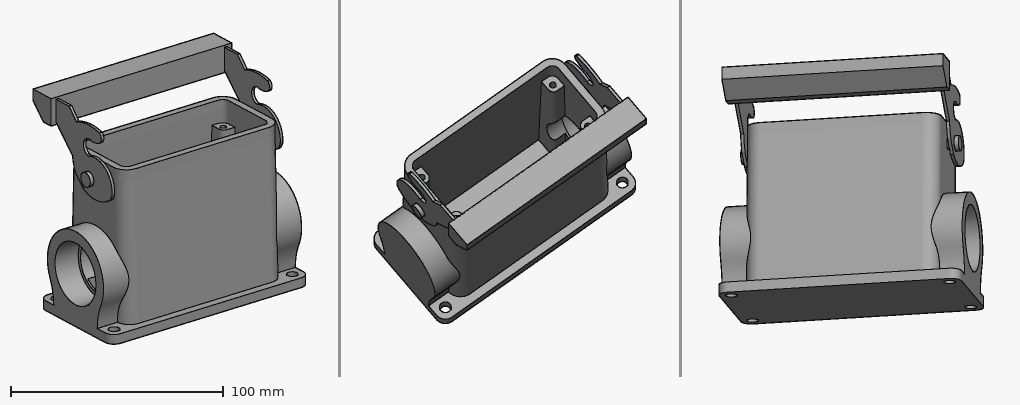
import cadquery as cq

BASE_LENGTH = 117.0
BASE_WIDTH = 56.6
BASE_THICKNESS = 5.0
BASE_CORNER_RADIUS = 5.1
MOUNT_HOLE_DIAMETER = 5.5
MOUNT_HOLE_X = 22.3
MOUNT_HOLE_Y = 52.6

TOWER_LENGTH = 93.4
TOWER_TOP_WIDTH = 43.3
TOWER_FOOT_WIDTH = 48.0
TOWER_CORNER_RADIUS = 7.5
TOWER_TOP_Z = 83.9
RIM_HEIGHT = 5.4
RIM_Z = TOWER_TOP_Z - RIM_HEIGHT
WALL = 3.7
FLOOR_Z = 2.3
CAVITY_FOOT_WIDTH = TOWER_FOOT_WIDTH - 2 * WALL
CAVITY_FOOT_LENGTH = 87.8

POST_INNER_X = 9.8
POST_INNER_Y = 35.8
POST_CORNER_RADIUS = 3.0
POST_TOP_Z = 71.8
POST_HOLE_X = 13.5
POST_HOLE_Y = 39.0
POST_HOLE_DIAMETER = 3.0
POST_HOLE_DEPTH = 9.4

PORT_RADIUS = 21.9
PORT_Z = 27.1
PORT_NECK_HALF_WIDTH = 17.0
PORT_BORE_RADIUS = 15.9
PORT_BORE_DEPTH = 13.7
PORT_INNER_RADIUS = 14.0

PIN_Z = 74.0
PIN_DIAMETER = 5.3
PIN_HEAD_DIAMETER = 7.4
PIN_HEAD_THICKNESS = 2.1
PIN_EMBEDMENT = 1.2

ARM_THICKNESS = 1.5
ARM_INNER_Y = 48.9
ARM_OUTER_Y = ARM_INNER_Y + ARM_THICKNESS
ARM_TOP_Z = 105.8
HANDLE_LENGTH = 106.7
HANDLE_SIZE = 14.2
HANDLE_CHAMFER = 8.2
HANDLE_LEFT_X = -39.9
HANDLE_RIGHT_X = HANDLE_LEFT_X + HANDLE_SIZE
HANDLE_TOP_Z = 106.8
HOOK_RADIUS = 27.6
HOOK_GAP_RADIUS = 4.5
HOOK_GAP_Z = 90.0
STRIP_TOP_END = (-15.6, ARM_TOP_Z)
STRIP_UNDERSIDE_START = (HANDLE_RIGHT_X, 93.8)
STRIP_UNDERSIDE_END = (-13.0, 81.3)
HOOK_ROOT = (-10.0, 99.8)
HOOK_TIP_TOP = (8.1, 100.4)
HOOK_TIP_END = (9.5, 97.9)
HOOK_TIP_BOTTOM = (7.5, 94.8)
HOOK_BELLY = (3.0, 94.0)
LOBE_SHOULDER = (14.0, 82.4)
LOBE_RIGHT = (17.9, 73.2)
LOBE_CORNER = (17.2, 70.1)
LOBE_BOTTOM_RIGHT = (15.2, 67.9)
LOBE_BOTTOM = (4.6, 64.8)
LOBE_FLAT_START = (-4.7, 67.4)
LOBE_FLAT_END = (-10.3, 73.1)
LOBE_LEFT = (-12.0, 76.9)

ENDS = (-1, 1)


def side_profile(plane, foot_width, top_width, foot_z):
    """Symmetric outline that narrows from the foot to the rim, then rises straight to the top."""
    return (
        cq.Workplane(plane)
        .moveTo(-foot_width / 2, foot_z)
        .lineTo(foot_width / 2, foot_z)
        .lineTo(top_width / 2, RIM_Z)
        .lineTo(top_width / 2, TOWER_TOP_Z)
        .lineTo(-top_width / 2, TOWER_TOP_Z)
        .lineTo(-top_width / 2, RIM_Z)
        .close()
    )


def tapered_column(inset, foot_width, foot_length, foot_z):
    """Tower shape moved inwards by inset: the block common to its X and Y profiles."""
    across = side_profile("XZ", foot_width, TOWER_TOP_WIDTH - 2 * inset, foot_z)
    along = side_profile("YZ", foot_length, TOWER_LENGTH - 2 * inset, foot_z)
    column = across.extrude(foot_length, both=True).intersect(along.extrude(foot_width, both=True))
    return column.edges("not #Z").fillet(TOWER_CORNER_RADIUS - inset)


def cylinder_along_y(radius, start_y, end_y, z):
    plane = cq.Workplane("XZ", origin=(0, start_y, z))
    return plane.circle(radius).extrude(start_y - end_y)


def make_base():
    base = cq.Workplane().rect(BASE_WIDTH, BASE_LENGTH).extrude(BASE_THICKNESS)
    base = base.edges("|Z").fillet(BASE_CORNER_RADIUS)
    places = [(sx * MOUNT_HOLE_X, sy * MOUNT_HOLE_Y) for sx in ENDS for sy in ENDS]
    holes = cq.Workplane().pushPoints(places).circle(MOUNT_HOLE_DIAMETER / 2)
    return base.cut(holes.extrude(BASE_THICKNESS))


def make_port(end):
    """Round boss on a waisted neck; the waist arcs meet the circle and the flange smoothly."""
    rise = PORT_Z - BASE_THICKNESS
    waist_radius = (PORT_NECK_HALF_WIDTH**2 + rise**2 - PORT_RADIUS**2) / (
        2 * (PORT_RADIUS - PORT_NECK_HALF_WIDTH)
    )
    waist_x = PORT_NECK_HALF_WIDTH + waist_radius
    share = PORT_RADIUS / (PORT_RADIUS + waist_radius)
    touch_x = share * waist_x
    touch_z = PORT_Z - share * rise
    chord_x = (touch_x + PORT_NECK_HALF_WIDTH) / 2 - waist_x
    chord_z = (touch_z + BASE_THICKNESS) / 2 - BASE_THICKNESS
    stretch = waist_radius / (chord_x**2 + chord_z**2) ** 0.5
    middle_x = waist_x + stretch * chord_x
    middle_z = BASE_THICKNESS + stretch * chord_z

    outer_y = end * BASE_LENGTH / 2
    inner_y = end * (TOWER_LENGTH / 2 - WALL)
    outline = (
        cq.Workplane("XZ", origin=(0, outer_y, 0))
        .moveTo(-PORT_NECK_HALF_WIDTH, BASE_THICKNESS)
        .threePointArc((-middle_x, middle_z), (-touch_x, touch_z))
        .threePointArc((0, PORT_Z + PORT_RADIUS), (touch_x, touch_z))
        .threePointArc((middle_x, middle_z), (PORT_NECK_HALF_WIDTH, BASE_THICKNESS))
        .close()
    )
    return outline.extrude(outer_y - inner_y)


def make_post(sx, sy):
    """Oversized corner block; only the part inside the cavity matters."""
    post = (
        cq.Workplane(origin=(sx * POST_INNER_X, sy * POST_INNER_Y, FLOOR_Z))
        .rect(sx * BASE_WIDTH / 2, sy * BASE_LENGTH / 2, centered=False)
        .extrude(POST_TOP_Z - FLOOR_Z)
    )
    x_side = "<X" if sx > 0 else ">X"
    y_side = "<Y" if sy > 0 else ">Y"
    return post.edges(f"|Z and {x_side} and {y_side}").fillet(POST_CORNER_RADIUS)


def make_cavity():
    """Inside of the tower, leaving the four corner posts standing."""
    cavity = tapered_column(WALL, CAVITY_FOOT_WIDTH, CAVITY_FOOT_LENGTH, FLOOR_Z)
    for sx in ENDS:
        for sy in ENDS:
            cavity = cavity.cut(make_post(sx, sy))
    return cavity


def make_post_holes():
    places = [(sx * POST_HOLE_X, sy * POST_HOLE_Y) for sx in ENDS for sy in ENDS]
    plane = cq.Workplane(origin=(0, 0, POST_TOP_Z)).pushPoints(places)
    return plane.circle(POST_HOLE_DIAMETER / 2).extrude(-POST_HOLE_DEPTH)


def make_port_bore():
    """Wide bore, then a narrower one through the wall and the inner posts."""
    outer_y = -BASE_LENGTH / 2
    wide = cylinder_along_y(PORT_BORE_RADIUS, outer_y, outer_y + PORT_BORE_DEPTH, PORT_Z)
    narrow = cylinder_along_y(PORT_INNER_RADIUS, outer_y, -POST_INNER_Y, PORT_Z)
    return wide.union(narrow)


def make_pin(end):
    root_y = end * (TOWER_LENGTH / 2 - PIN_EMBEDMENT)
    head_inner_y = end * ARM_OUTER_Y
    head_outer_y = head_inner_y + end * PIN_HEAD_THICKNESS
    shank = cylinder_along_y(PIN_DIAMETER / 2, root_y, head_inner_y, PIN_Z)
    head = cylinder_along_y(PIN_HEAD_DIAMETER / 2, head_inner_y, head_outer_y, PIN_Z)
    return shank.union(head)


def make_housing():
    housing = make_base().union(tapered_column(0, TOWER_FOOT_WIDTH, TOWER_LENGTH, BASE_THICKNESS))
    for end in ENDS:
        housing = housing.union(make_port(end))
    housing = housing.cut(make_cavity()).cut(make_post_holes()).cut(make_port_bore())
    for end in ENDS:
        housing = housing.union(make_pin(end))
    return housing


def make_handle():
    handle = (
        cq.Workplane("XZ", origin=(0, HANDLE_LENGTH / 2, 0))
        .moveTo(HANDLE_LEFT_X, HANDLE_TOP_Z)
        .lineTo(HANDLE_RIGHT_X, HANDLE_TOP_Z)
        .lineTo(HANDLE_RIGHT_X, HANDLE_TOP_Z - HANDLE_SIZE)
        .lineTo(HANDLE_LEFT_X + HANDLE_CHAMFER, HANDLE_TOP_Z - HANDLE_SIZE)
        .lineTo(HANDLE_LEFT_X, HANDLE_TOP_Z - HANDLE_SIZE + HANDLE_CHAMFER)
        .close()
    )
    return handle.extrude(HANDLE_LENGTH)


def make_arm(end):
    """Flat side arm: strip from the handle, hook over the gap, and the lobe around the pin."""
    gap_top = HOOK_GAP_Z + HOOK_GAP_RADIUS
    gap_bottom = HOOK_GAP_Z - HOOK_GAP_RADIUS
    start_y = max(end * ARM_INNER_Y, end * ARM_OUTER_Y)
    outline = (
        cq.Workplane("XZ", origin=(0, start_y, 0))
        .moveTo(HANDLE_RIGHT_X, ARM_TOP_Z)
        .lineTo(*STRIP_TOP_END)
        .lineTo(*HOOK_ROOT)
        .threePointArc((0, PIN_Z + HOOK_RADIUS), HOOK_TIP_TOP)
        .threePointArc(HOOK_TIP_END, HOOK_TIP_BOTTOM)
        .threePointArc(HOOK_BELLY, (0, gap_top))
        .threePointArc((-HOOK_GAP_RADIUS, HOOK_GAP_Z), (0, gap_bottom))
        .threePointArc(LOBE_SHOULDER, LOBE_RIGHT)
        .threePointArc(LOBE_CORNER, LOBE_BOTTOM_RIGHT)
        .threePointArc(LOBE_BOTTOM, LOBE_FLAT_START)
        .lineTo(*LOBE_FLAT_END)
        .threePointArc(LOBE_LEFT, STRIP_UNDERSIDE_END)
        .lineTo(*STRIP_UNDERSIDE_START)
        .close()
    )
    return outline.extrude(ARM_THICKNESS)


def make_lever():
    lever = make_handle()
    for end in ENDS:
        hole = cylinder_along_y(PIN_DIAMETER / 2, end * ARM_INNER_Y, end * ARM_OUTER_Y, PIN_Z)
        lever = lever.union(make_arm(end).cut(hole))
    return lever


housing = make_housing()
lever = make_lever()
result = cq.Compound.makeCompound([housing.val(), lever.val()])